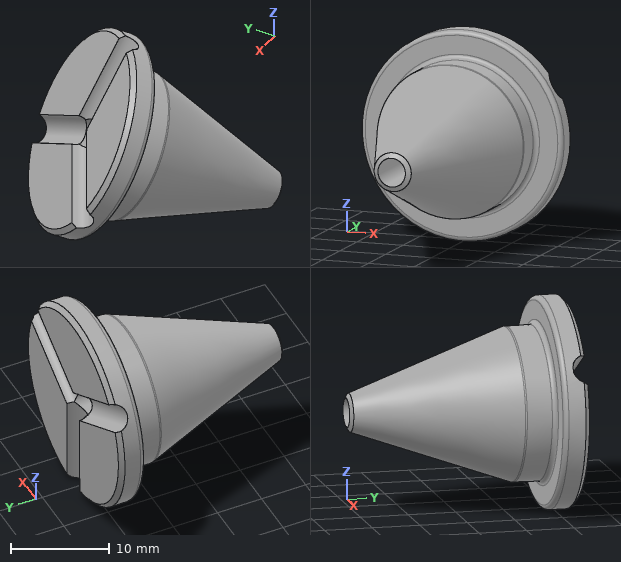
import cadquery as cq

length = 23.0
flange_diameter = 22.0
flange_thickness = 2.8
neck_diameter = 16.0
neck_end = 6.03
tip_diameter = 4.05
tip_bevel_length = 0.3
bore_diameter = 3.0
edge_size = 0.5
notch_count = 3
notch_radius = 1.5
first_notch_angle = 30.0

back_y = length / 2
flange_front_y = back_y - flange_thickness
cone_start_y = back_y - neck_end
tip_y = -length / 2

flange_radius = flange_diameter / 2
neck_radius = neck_diameter / 2
tip_radius = tip_diameter / 2
bore_radius = bore_diameter / 2


def is_rounded_edge(edge):
    """True for the circles at the flange front (rim and neck root) and at the start of the cone."""
    tolerance = 0.0002
    edge_y = edge.Center().y
    return min(abs(edge_y - flange_front_y), abs(edge_y - cone_start_y)) < tolerance


def turned_body():
    """Flange, neck and cone around a straight bore, with a chamfered back rim and rounded edges."""
    body = (
        cq.Workplane("XY")
        .moveTo(bore_radius, back_y)
        .lineTo(flange_radius - edge_size, back_y)
        .lineTo(flange_radius, back_y - edge_size)
        .lineTo(flange_radius, flange_front_y)
        .lineTo(neck_radius, flange_front_y)
        .lineTo(neck_radius, cone_start_y)
        .lineTo(tip_radius, tip_y + tip_bevel_length)
        .lineTo(bore_radius, tip_y)
        .close()
        .revolve(360, (0, 0, 0), (0, 1, 0))
    )
    return body.edges("%CIRCLE").filter(is_rounded_edge).fillet(edge_size)


def notch(angle):
    """Half-round radial groove in the back face, from the bore out through the rim."""
    groove = cq.Workplane("YZ", origin=(0, back_y, 0)).circle(notch_radius).extrude(flange_diameter)
    return groove.rotate((0, 0, 0), (0, 1, 0), -angle)


result = turned_body()
for index in range(notch_count):
    result = result.cut(notch(first_notch_angle + index * 360 / notch_count))